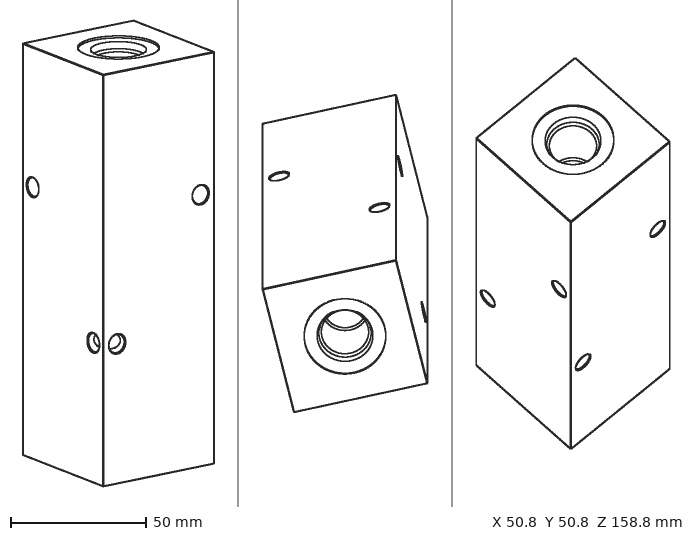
import cadquery as cq

LENGTH = 158.8
SIDE = 50.8
EDGE_CHAMFER = 0.25

SPOTFACE_RADIUS = 15.1
SPOTFACE_DEPTH = 0.8
SEAL_MOUTH_RADIUS = 10.3
SEAL_SEAT_RADIUS = 9.7
SEAL_DEPTH = 2.5
TAP_RADIUS = 8.7
TAP_DEPTH = 22.2
BORE_RADIUS = 8.0

HOLE_DIAMETER = 7.0
HOLE_MOUTH_DIAMETER = 7.8
HOLE_EDGE_DISTANCE = 6.4
HOLE_SPACING = 50.8

HOLE_OFFSET = SIDE / 2 - HOLE_EDGE_DISTANCE
HOLE_CHAMFER = (HOLE_MOUTH_DIAMETER - HOLE_DIAMETER) / 2


def make_block():
    """Square bar, base centred on the origin, with all outer edges broken."""
    bar = cq.Workplane("XY").box(SIDE, SIDE, LENGTH, centered=(True, True, False))
    return bar.edges().chamfer(EDGE_CHAMFER)


def make_bore():
    """Through bore with an identical stepped port at both ends, as one revolved cutter."""
    seal_start = SPOTFACE_DEPTH
    seal_end = seal_start + SEAL_DEPTH
    tap_start = seal_end + SEAL_SEAT_RADIUS - TAP_RADIUS
    tap_end = tap_start + TAP_DEPTH
    bore_start = tap_end + TAP_RADIUS - BORE_RADIUS

    port = [
        (SPOTFACE_RADIUS, 0.0),
        (SPOTFACE_RADIUS, seal_start),
        (SEAL_MOUTH_RADIUS, seal_start),
        (SEAL_SEAT_RADIUS, seal_end),
        (TAP_RADIUS, tap_start),
        (TAP_RADIUS, tap_end),
        (BORE_RADIUS, bore_start),
    ]
    lower = [(0.0, 0.0)] + port
    upper = [(radius, LENGTH - depth) for radius, depth in reversed(port)] + [(0.0, LENGTH)]
    return cq.Workplane("XZ").polyline(lower + upper).close().revolve(360, (0, 0, 0), (0, 1, 0))


def make_mounting_hole():
    """Cutter along Y, centred on the origin, with a countersunk mouth at each side face."""
    half = SIDE / 2
    radius = HOLE_DIAMETER / 2
    mouth_radius = HOLE_MOUTH_DIAMETER / 2
    straight_end = half - HOLE_CHAMFER
    outline = [
        (0.0, -half),
        (mouth_radius, -half),
        (radius, -straight_end),
        (radius, straight_end),
        (mouth_radius, half),
        (0.0, half),
    ]
    return cq.Workplane("XY").polyline(outline).close().revolve(360, (0, 0, 0), (0, 1, 0))


result = make_block().cut(make_bore())

along_y = make_mounting_hole()
along_x = along_y.rotate((0, 0, 0), (0, 0, 1), -90)
for level in (-1, 1):
    height = LENGTH / 2 + level * HOLE_SPACING / 2
    result = result.cut(along_y.translate((-level * HOLE_OFFSET, 0, height)))
    result = result.cut(along_x.translate((0, level * HOLE_OFFSET, height)))